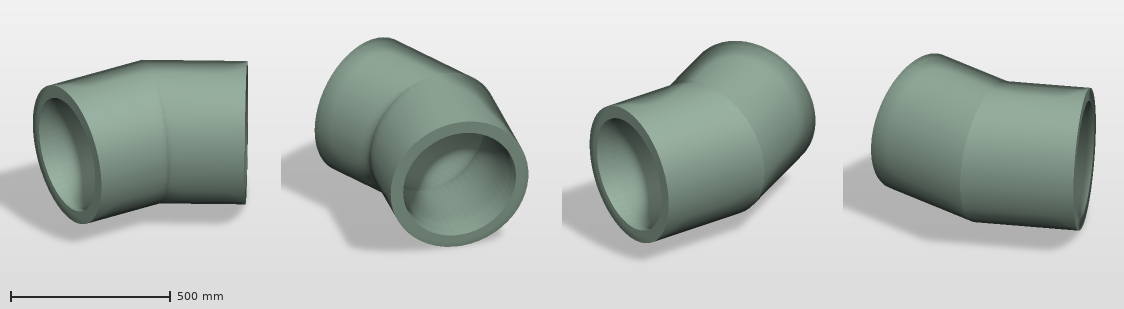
import cadquery as cq
import math

outer_diameter = 450.0
wall_thickness = 40.9
bend_angle = 30.0
leg_length = 299.57

inner_diameter = outer_diameter - 2 * wall_thickness


def elbow_axis():
    """Two-segment centreline in the XY plane, starting at the origin along +Y."""
    bend = math.radians(bend_angle)
    mitre_centre = (0, leg_length)
    far_end = (
        leg_length * math.sin(bend),
        leg_length + leg_length * math.cos(bend),
    )
    return cq.Workplane("XY").polyline([(0, 0), mitre_centre, far_end])


def mitred_rod(diameter):
    """Solid round bar following the centreline with a sharp mitre at the bend."""
    section = cq.Workplane("XZ").circle(diameter / 2)
    return section.sweep(elbow_axis(), transition="right")


result = mitred_rod(outer_diameter).cut(mitred_rod(inner_diameter))